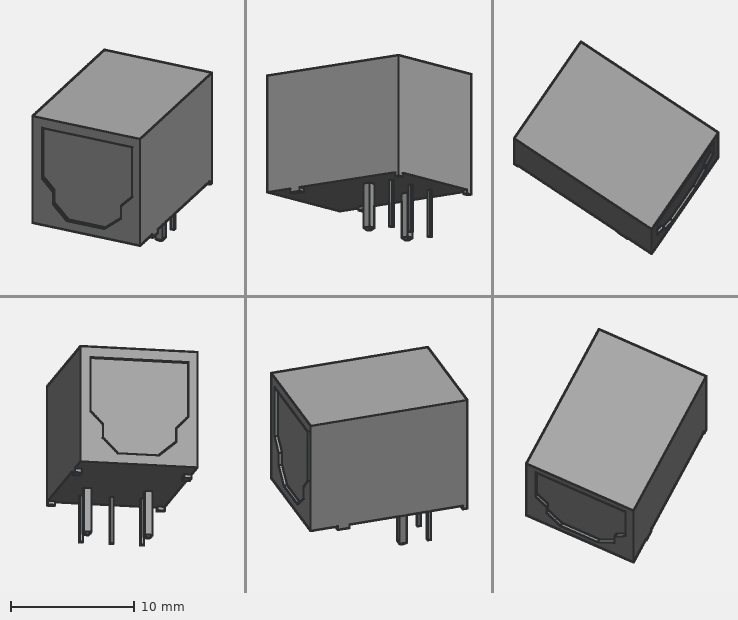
import cadquery as cq

width = 9.7
length = 13.5
total_height = 13.55
pin_length = 3.86
housing_height = total_height - pin_length

recess_depth = 0.3
recess_centre_x = 0.05
recess_half_width = 4.06
recess_neck_half_width = 3.06
recess_top = housing_height - 0.9
recess_shoulder_top = 4.25
recess_shoulder_bottom = 3.22
recess_neck_bottom = 2.1
recess_bottom = 0.84
recess_floor_left = -1.75
recess_floor_right = 1.61

foot_width = 0.6
foot_height = 0.31
front_foot_start = 2.35
front_foot_length = 1.0
rear_foot_length = 0.38

pin_pitch = 2.53
thick_pin_side = 0.64
thick_pin_y = length - 4.82
tip_chamfer = 0.2
thin_pin_side = 0.28
thin_pin_y = length - 2.49


def box_at(x_start, y_start, z_start, size_x, size_y, size_z):
    """Box positioned by its lowest corner."""
    box = cq.Workplane("XY").box(size_x, size_y, size_z, centered=False)
    return box.translate((x_start, y_start, z_start))


def pin(x, y, side):
    """Square pin hanging down from the underside."""
    return box_at(x - side / 2, y - side / 2, -pin_length, side, side, pin_length)


def front_recess():
    left = recess_centre_x - recess_half_width
    right = recess_centre_x + recess_half_width
    neck_left = recess_centre_x - recess_neck_half_width
    neck_right = recess_centre_x + recess_neck_half_width
    outline = [
        (left, recess_top),
        (right, recess_top),
        (right, recess_shoulder_top),
        (neck_right, recess_shoulder_bottom),
        (neck_right, recess_neck_bottom),
        (recess_floor_right, recess_bottom),
        (recess_floor_left, recess_bottom),
        (neck_left, recess_neck_bottom),
        (neck_left, recess_shoulder_bottom),
        (left, recess_shoulder_top),
    ]
    return cq.Workplane("XZ").polyline(outline).close().extrude(-recess_depth)


housing = box_at(-width / 2, 0, 0, width, length, housing_height)
result = housing.cut(front_recess())

foot_spans = [
    (front_foot_start, front_foot_length),
    (length - rear_foot_length, rear_foot_length),
]
for foot_x in (-width / 2, width / 2 - foot_width):
    for foot_y, foot_length in foot_spans:
        foot = box_at(foot_x, foot_y, -foot_height, foot_width, foot_length, foot_height)
        result = result.union(foot)

for pin_x in (-pin_pitch, pin_pitch):
    thick_pin = pin(pin_x, thick_pin_y, thick_pin_side).faces("<Z").chamfer(tip_chamfer)
    result = result.union(thick_pin)

for pin_x in (-pin_pitch, 0, pin_pitch):
    result = result.union(pin(pin_x, thin_pin_y, thin_pin_side))